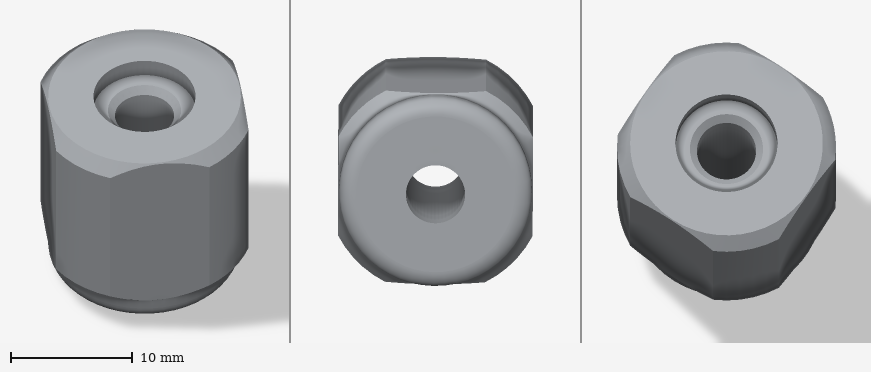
import cadquery as cq

height = 18.0
corner_diameter = 18.0
across_flats = 16.0
flat_angle = 45.0
edge_chamfer = 1.08
face_diameter = corner_diameter - 2 * edge_chamfer

collar_diameter = face_diameter
collar_height = 2.32
collar_fillet = 1.4

bushing_diameter = 8.39
bushing_recess = 1.62
bushing_height = height - bushing_recess
hole_diameter = 4.86
hole_mouth_diameter = 6.01
hole_chamfer = (hole_mouth_diameter - hole_diameter) / 2


def make_nut():
    """Four-flat nut with a rounded collar and a straight through bore."""
    barrel_height = height - collar_height
    barrel = (
        cq.Workplane("XY")
        .workplane(offset=collar_height)
        .circle(corner_diameter / 2)
        .extrude(barrel_height)
        .edges("%CIRCLE")
        .chamfer(edge_chamfer)
    )

    square = (
        cq.Workplane("XY")
        .rect(across_flats, across_flats)
        .extrude(height)
        .rotate((0, 0, 0), (0, 0, 1), flat_angle)
    )

    collar = (
        cq.Workplane("XY")
        .circle(collar_diameter / 2)
        .extrude(collar_height)
        .faces("<Z")
        .edges()
        .fillet(collar_fillet)
    )

    bore = cq.Workplane("XY").circle(bushing_diameter / 2).extrude(height)
    return barrel.intersect(square).union(collar).cut(bore)


def make_bushing():
    """Sleeve flush with the nut's bottom and recessed below its top face."""
    sleeve = (
        cq.Workplane("XY")
        .circle(bushing_diameter / 2)
        .circle(hole_diameter / 2)
        .extrude(bushing_height)
    )
    hole_mouth = cq.selectors.RadiusNthSelector(0)
    return sleeve.faces(">Z").edges(hole_mouth).chamfer(hole_chamfer)


nut = make_nut()
bushing = make_bushing()

result = cq.Compound.makeCompound([nut.solids().val(), bushing.solids().val()])